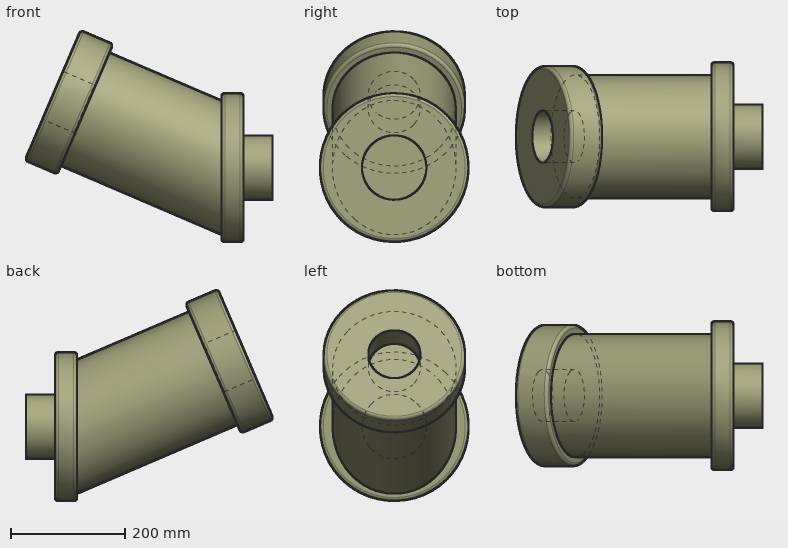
import cadquery as cq
import math

tilt_angle = 23.2
flange_diameter = 260.5
flange_thickness = 39.0
pin_diameter = 112.7
pin_length = 51.0
tube_diameter = 216.0
head_diameter = 248.0
head_thickness = 62.0
head_reach = 321.0
hole_diameter = 91.0
hole_depth = 60.0
edge_radius = 6.0

tilt = math.radians(tilt_angle)
axis_direction = cq.Vector(-math.cos(tilt), 0, math.sin(tilt))


def tilted_plane(distance):
    """Plane square to the tilted axis at a distance from the flange face."""
    return cq.Plane(origin=axis_direction * distance, xDir=(0, 1, 0), normal=axis_direction)


def make_flange():
    disc = cq.Workplane("YZ").circle(flange_diameter / 2).extrude(flange_thickness)
    return disc.edges().fillet(edge_radius)


def make_pin():
    return (
        cq.Workplane("YZ", origin=(flange_thickness, 0, 0))
        .circle(pin_diameter / 2)
        .extrude(pin_length)
    )


def make_tube():
    """Solid tube, cut off by the flange's -X face."""
    overrun = tube_diameter
    tube = (
        cq.Workplane(tilted_plane(-overrun))
        .circle(tube_diameter / 2)
        .extrude(overrun + head_reach - head_thickness)
    )
    trim_size = 4 * tube_diameter
    trim = cq.Workplane("YZ").rect(trim_size, trim_size).extrude(trim_size)
    return tube.cut(trim)


def make_head():
    disc = (
        cq.Workplane(tilted_plane(head_reach - head_thickness))
        .circle(head_diameter / 2)
        .extrude(head_thickness)
    )
    return disc.edges().fillet(edge_radius)


def make_hole():
    return cq.Workplane(tilted_plane(head_reach)).circle(hole_diameter / 2).extrude(-hole_depth)


result = make_flange().union(make_pin()).union(make_tube()).union(make_head()).cut(make_hole())